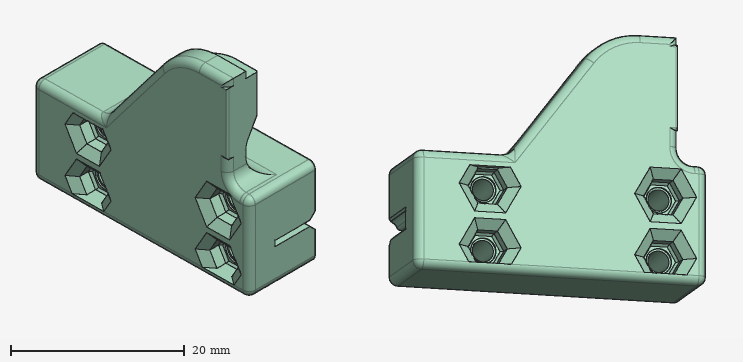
import cadquery as cq
import math

length = 35.0
depth = 11.0
base_height = 14.0
edge_radius = 1.0
back_edge_radius = 0.25

plate_height = 29.0
plate_thickness = 3.0
plate_foot_x = 11.45
plate_shoulder_x = 23.0
plate_right_x = 31.5
foot_radius = 2.0
shoulder_radius = 8.0
root_radius = 3.0

pad_thickness = 2.0
pad_back_y = plate_thickness + pad_thickness
pad_top = plate_height - edge_radius
pad_front_bottom = 18.0
pad_slope_start = 22.2
pad_slope_angle = 30.0
pad_slope_radius = 3.0
pad_side_radius = 4.0
pad_flat_left_x = 27.85
pad_edge_radius = 0.25

hole_xs = (8.95, 30.0)
hole_zs = (3.0, 10.22)
hole_radius = 1.25
hole_rim_radius = 1.5
hole_rim_depth = 0.25
mouth_corner_radius = 3.7
nut_corner_radius = 2.35
floor_corner_radius = 2.0
taper_depth = 1.0
nut_end_depth = 2.45
floor_depth = 2.75
left_pocket_ceiling = 12.42

slot_bottom = 5.5
slot_top = 6.37
slot_front_y = 4.27
slot_mouth_chamfer = 1.0
slot_end_chamfer = 0.25
entry_top = 7.63
entry_root_radius = 0.8
entry_lip_radius = entry_top - slot_top - entry_root_radius


def box(x_range, y_range, z_range):
    """Block between two limits along each axis."""
    size = [high - low for low, high in (x_range, y_range, z_range)]
    corner = (x_range[0], y_range[0], z_range[0])
    return cq.Workplane("XY").box(*size, centered=False).translate(corner)


def front_plane(y):
    """Workplane facing the front, with X and Z as its local axes, at a depth y."""
    return cq.Workplane("XZ", origin=(0, y, 0))


def nearest_edge(x, y, z):
    """Selector for the edge whose centre lies closest to a point."""
    return cq.selectors.NearestToPointSelector((x, y, z))


def make_base():
    """Block with rounded depthwise edges and a lightly rounded rim around the back face."""
    block = box((0, length), (0, depth), (0, base_height))
    return block.edges("|Y").fillet(edge_radius).faces(">Y").edges().fillet(back_edge_radius)


def plate_outline(front_y, back_y):
    """Outline of the plate and of the base top beside it, with a sharp left foot."""
    points = [
        (edge_radius, 0),
        (edge_radius, base_height),
        (plate_foot_x, base_height),
        (plate_shoulder_x, plate_height),
        (plate_right_x, plate_height),
        (plate_right_x, base_height),
        (length - edge_radius, base_height),
        (length - edge_radius, 0),
    ]
    middle_y = (front_y + back_y) / 2
    solid = front_plane(front_y).polyline(points).close().extrude(front_y - back_y)
    solid = solid.edges(nearest_edge(plate_right_x, middle_y, base_height)).fillet(foot_radius)
    return solid.edges(nearest_edge(plate_shoulder_x, middle_y, plate_height)).fillet(shoulder_radius)


def make_root():
    """Concave fillet between the back of the plate and the top of the base."""
    root_y = plate_thickness + root_radius
    middle_y = (plate_thickness + root_y) / 2
    solid = plate_outline(plate_thickness, root_y)
    solid = solid.edges(nearest_edge(plate_foot_x, middle_y, base_height)).fillet(foot_radius)
    clearance = (
        cq.Workplane("YZ")
        .moveTo(root_y, base_height)
        .radiusArc((plate_thickness, base_height + root_radius), root_radius)
        .lineTo(plate_thickness, plate_height)
        .lineTo(root_y, plate_height)
        .close()
        .extrude(length)
    )
    return solid.cut(clearance)


def make_pad():
    """Pad with a sloped underside blended into the plate and a rounded left side.

    A strip at its right edge reaches the front face, replacing the large edge fillet there.
    """
    angle = math.radians(pad_slope_angle)
    slope_end = pad_slope_start - pad_thickness / math.tan(angle)
    tangent = pad_slope_radius * math.tan(angle / 2)
    blend_start = (plate_thickness + tangent * math.sin(angle), slope_end + tangent * math.cos(angle))
    side = (
        cq.Workplane("YZ")
        .moveTo(0, pad_front_bottom)
        .lineTo(0, pad_top)
        .lineTo(pad_back_y, pad_top)
        .lineTo(pad_back_y, pad_slope_start)
        .lineTo(*blend_start)
        .radiusArc((plate_thickness, slope_end - tangent), -pad_slope_radius)
        .lineTo(plate_thickness, pad_front_bottom)
        .close()
        .extrude(plate_right_x)
    )
    rise = pad_side_radius - pad_thickness
    pad_left_x = pad_flat_left_x - math.sqrt(pad_side_radius**2 - rise**2)
    plan = (
        cq.Workplane("XY")
        .moveTo(pad_left_x, plate_thickness)
        .radiusArc((pad_flat_left_x, pad_back_y), pad_side_radius)
        .lineTo(plate_right_x, pad_back_y)
        .lineTo(plate_right_x, 0)
        .lineTo(pad_left_x, 0)
        .close()
        .extrude(plate_height)
    )
    front_relief = box((0, plate_right_x - edge_radius), (0, edge_radius), (0, plate_height))
    pad = side.intersect(plan).cut(front_relief)
    pad = pad.edges("|Z and >X and >Y").fillet(pad_edge_radius)
    return pad.faces("<Y").edges("not <X").fillet(pad_edge_radius)


def hexagon(corner_radius, y):
    """Hexagon around the local origin, with two corners along X, at a depth y."""
    return front_plane(y).polygon(6, 2 * corner_radius)


def hex_taper(start_radius, end_radius, start_y, end_y):
    """Hexagonal frustum between two depths."""
    return hexagon(start_radius, start_y).workplane(offset=start_y - end_y).polygon(6, 2 * end_radius).loft()


def make_nut_pocket(x, z):
    """Flared hexagonal pocket, cut off flat above the bottom edge and below the base top."""
    pocket = (
        hex_taper(mouth_corner_radius, nut_corner_radius, 0, taper_depth)
        .union(hexagon(nut_corner_radius, taper_depth).extrude(taper_depth - nut_end_depth))
        .union(hex_taper(nut_corner_radius, floor_corner_radius, nut_end_depth, floor_depth))
        .translate((x, 0, z))
    )
    highest = left_pocket_ceiling if x < plate_foot_x else plate_height
    return pocket.intersect(box((0, length), (0, depth), (edge_radius, highest)))


def make_hole(x, z):
    """Through hole with a shallow counterbore in the floor of its nut pocket."""
    bore = front_plane(0).circle(hole_radius).extrude(-depth)
    rim = front_plane(0).circle(hole_rim_radius).extrude(-floor_depth - hole_rim_depth)
    return bore.union(rim).translate((x, 0, z))


def make_belt_slot():
    """Narrow slot with a flared back mouth, and a taller left entry ending in a rounded step."""
    mouth_start = depth - slot_mouth_chamfer
    passage = (
        cq.Workplane("YZ")
        .moveTo(slot_front_y, slot_bottom)
        .lineTo(mouth_start, slot_bottom)
        .lineTo(depth, slot_bottom - slot_mouth_chamfer)
        .lineTo(depth, slot_top + slot_mouth_chamfer)
        .lineTo(mouth_start, slot_top)
        .lineTo(slot_front_y, slot_top)
        .close()
        .extrude(length)
    )
    entry = (
        front_plane(slot_front_y)
        .moveTo(0, slot_bottom)
        .lineTo(0, entry_top)
        .radiusArc((entry_root_radius, entry_top - entry_root_radius), entry_root_radius)
        .radiusArc((entry_root_radius + entry_lip_radius, slot_top), -entry_lip_radius)
        .lineTo(entry_root_radius + entry_lip_radius, slot_bottom)
        .close()
        .extrude(slot_front_y - depth)
    )
    rim_front_y = slot_front_y - slot_end_chamfer
    rim_back_y = depth + slot_end_chamfer
    rim_height = entry_top - slot_bottom + 2 * slot_end_chamfer
    rim = (
        cq.Workplane("YZ")
        .center((rim_front_y + rim_back_y) / 2, (entry_top + slot_bottom) / 2)
        .rect(rim_back_y - rim_front_y, rim_height)
        .extrude(slot_end_chamfer, taper=45)
    )
    return passage.union(entry).union(rim)


body = make_base().union(plate_outline(0, plate_thickness)).clean()
body = body.faces("<Y").edges().fillet(edge_radius)
body = body.edges(nearest_edge(plate_foot_x, plate_thickness / 2, base_height)).fillet(foot_radius)
body = body.union(make_root()).union(make_pad()).cut(make_belt_slot())
for hole_x in hole_xs:
    for hole_z in hole_zs:
        body = body.cut(make_nut_pocket(hole_x, hole_z)).cut(make_hole(hole_x, hole_z))

result = body